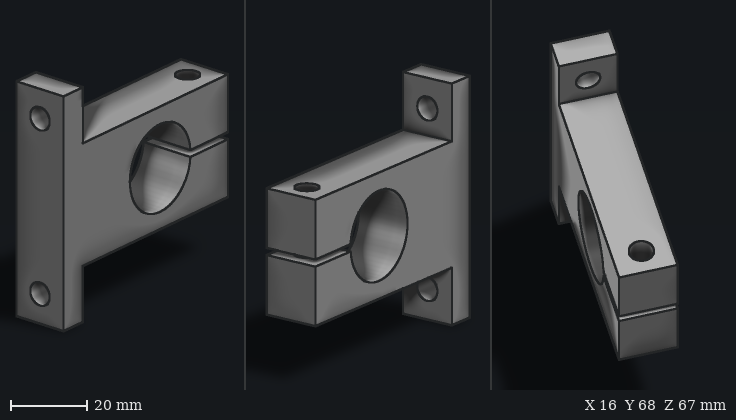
import cadquery as cq

width = 16.0
depth = 68.0
base_height = 67.0

base_thickness = 8.0
body_height = 35.0

bore_diameter = 25.0
bore_from_base = 40.0
slit_width = 2.0

bolt_diameter = 6.6
mounting_spacing = 50.0
clamp_hole_from_end = 7.0


def base_flange():
    """Upright plate whose outer face lies on Y = 0."""
    return cq.Workplane("XY").box(width, base_thickness, base_height, centered=(True, False, True))


def clamp_body():
    """Block reaching from the base face to the free end."""
    return cq.Workplane("XY").box(width, depth, body_height, centered=(True, False, True))


def shaft_bore():
    """Cylinder along X through the body."""
    return cq.Workplane("YZ").center(bore_from_base, 0).circle(bore_diameter / 2).extrude(width, both=True)


def clamping_slit():
    """Gap from the bore centre out through the free end."""
    slit_length = depth - bore_from_base
    return (
        cq.Workplane("XY")
        .box(width, slit_length, slit_width, centered=(True, False, True))
        .translate((0, bore_from_base, 0))
    )


def mounting_holes():
    """Pair of holes along Y through the base flange."""
    half_spacing = mounting_spacing / 2
    return (
        cq.Workplane("XZ")
        .pushPoints([(0, -half_spacing), (0, half_spacing)])
        .circle(bolt_diameter / 2)
        .extrude(-base_thickness)
    )


def clamp_hole():
    """Hole along Z through both jaws near the free end."""
    hole_y = depth - clamp_hole_from_end
    return cq.Workplane("XY").center(0, hole_y).circle(bolt_diameter / 2).extrude(body_height, both=True)


result = base_flange().union(clamp_body())
for cutter in (shaft_bore(), clamping_slit(), mounting_holes(), clamp_hole()):
    result = result.cut(cutter)